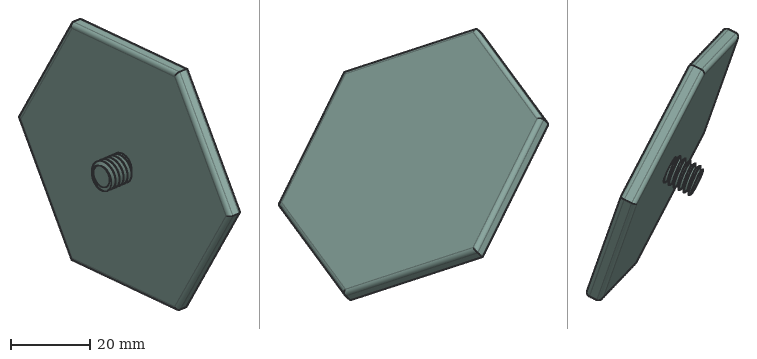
import cadquery as cq
import math

PLATE_ACROSS_CORNERS = 77.95
PLATE_THICKNESS = 4.45
PLATE_EDGE_FILLET = 1.2

STUD_LENGTH = 7.55
THREAD_MAJOR_DIAMETER = 7.95
THREAD_ROOT_DIAMETER = 5.85
THREAD_PITCH = 1.4
THREAD_RIDGE_ROOT_WIDTH = 1.3
THREAD_CREST_WIDTH = 0.15
CREST_FROM_TIP = 1.1
RIDGE_EMBED = 0.04


def make_plate():
    """Hexagonal plate with all edges of both flat faces rounded."""
    return (
        cq.Workplane("XZ")
        .polygon(6, PLATE_ACROSS_CORNERS)
        .extrude(-PLATE_THICKNESS)
        .faces("<Y or >Y")
        .edges()
        .fillet(PLATE_EDGE_FILLET)
    )


def make_thread_ridge(start, height):
    """Right-hand helical ridge around Z; its first crest is at Z = start on the +X side."""
    root_radius = THREAD_ROOT_DIAMETER / 2
    crest_radius = THREAD_MAJOR_DIAMETER / 2
    base_radius = root_radius - RIDGE_EMBED
    half_crest = THREAD_CREST_WIDTH / 2
    half_root = THREAD_RIDGE_ROOT_WIDTH / 2
    flank_slope = (half_root - half_crest) / (crest_radius - root_radius)
    half_base = half_root + flank_slope * RIDGE_EMBED

    helix = cq.Wire.makeHelix(THREAD_PITCH, height, root_radius).translate(cq.Vector(0, 0, start))
    profile = cq.Workplane("XZ").polyline([
        (base_radius, start - half_base),
        (crest_radius, start - half_crest),
        (crest_radius, start + half_crest),
        (base_radius, start + half_base),
    ]).close()
    return profile.sweep(cq.Workplane(obj=helix), isFrenet=True)


def make_core(start, length):
    """Plain round core of the stud around Z."""
    return cq.Workplane("XY").workplane(offset=start).circle(THREAD_ROOT_DIAMETER / 2).extrude(length)


def stand_on_plate(stud_part):
    """Turn a part of the stud from the +Z axis to the -Y axis."""
    return stud_part.rotate((0, 0, 0), (1, 0, 0), 90)


def make_thread():
    """Thread wound around the core, made overlong and then cut flat at both ends."""
    last_crest = STUD_LENGTH - CREST_FROM_TIP
    turns_to_last_crest = math.ceil(last_crest / THREAD_PITCH) + 1
    turns_past_last_crest = math.ceil(CREST_FROM_TIP / THREAD_PITCH) + 1
    ridge_start = last_crest - turns_to_last_crest * THREAD_PITCH
    ridge_height = (turns_to_last_crest + turns_past_last_crest) * THREAD_PITCH
    bore = make_core(ridge_start - THREAD_PITCH, ridge_height + 2 * THREAD_PITCH)

    limit_side = 2 * THREAD_MAJOR_DIAMETER
    length_limit = cq.Workplane("XY").rect(limit_side, limit_side).extrude(STUD_LENGTH)
    thread = make_thread_ridge(ridge_start, ridge_height).cut(bore).intersect(length_limit)
    return stand_on_plate(thread)


def make_plate_with_core():
    """Plate and the stud core that grows out of its front face."""
    return make_plate().union(stand_on_plate(make_core(0, STUD_LENGTH)))


plate_with_core = make_plate_with_core()
thread = make_thread()

result = cq.Compound.makeCompound([plate_with_core.val(), *thread.solids().vals()])